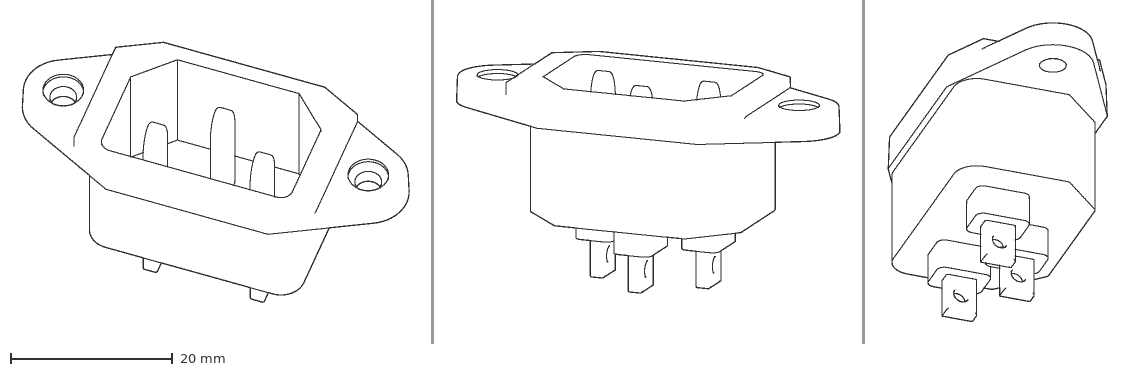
import cadquery as cq
import math

overall_length = 50.15
flange_width = 21.1
flange_flat_length = 21.25
flange_height = 4.7
flange_draft = 2.0
ear_height = 3.3
ear_hole_spacing = 40.05
raised_length = 31.8
flange_edge_radius = 0.25

screw_hole_diameter = 3.3
screw_head_diameter = 5.0
screw_head_recess = 0.5

cavity_length = 25.0
cavity_width = 16.45
cavity_chamfer = 4.5
cavity_corner_radius = 1.5
wall = 1.5
shell_depth = 12.5
shell_key_radius = 0.5

boss_length = 5.0
boss_width = 7.0
boss_corner_radius = 1.0
boss_depth = 3.9

pin_thickness = 1.95
pin_width = 4.0
pin_tip_length = 4.0
pin_tip_z = 4.4
pin_bottom_z = -21.45
pin_edge_radius = 0.275
pin_hole_diameter = 2.0
pin_hole_edge_radius = 0.25
pin_hole_z = -18.85
pin_pitch = 7.0
pin_offset = 2.5

ear_x = ear_hole_spacing / 2
ear_radius = overall_length / 2 - ear_x
shell_length = cavity_length + 2 * wall
shell_width = cavity_width + 2 * wall
shell_chamfer = cavity_chamfer + wall * (2 - math.sqrt(2))
shell_corner_radius = cavity_corner_radius + wall
cavity_depth = flange_height + shell_depth - wall
pin_places = [(-pin_pitch, -pin_offset), (0, pin_offset), (pin_pitch, -pin_offset)]


def flange_blank():
    """Drafted plate: two long straight sides joined by tangent slants to the round ears."""
    flat_x = flange_flat_length / 2
    side_y = flange_width / 2
    end_x = overall_length / 2

    corner_distance = math.hypot(ear_x - flat_x, side_y)
    corner_angle = math.atan2(side_y, flat_x - ear_x)
    tangent_angle = corner_angle - math.acos(ear_radius / corner_distance)
    tangent_x = ear_x + ear_radius * math.cos(tangent_angle)
    tangent_y = ear_radius * math.sin(tangent_angle)

    return (
        cq.Workplane("XY")
        .moveTo(-flat_x, side_y)
        .lineTo(flat_x, side_y)
        .lineTo(tangent_x, tangent_y)
        .threePointArc((end_x, 0), (tangent_x, -tangent_y))
        .lineTo(flat_x, -side_y)
        .lineTo(-flat_x, -side_y)
        .lineTo(-tangent_x, -tangent_y)
        .threePointArc((-end_x, 0), (-tangent_x, tangent_y))
        .close()
        .extrude(flange_height, taper=flange_draft)
    )


def is_outer_edge(edge):
    """True for the convex flange edges above the underside, false for step roots and ear seams."""
    center = edge.Center()
    box = edge.BoundingBox()
    tolerance = 0.005
    on_step = abs(abs(center.x) - raised_length / 2) < tolerance
    is_step_root = on_step and abs(center.z - ear_height) < tolerance
    touches_underside = box.zmin < tolerance
    is_underside = box.zmax < tolerance
    is_ear_seam = touches_underside and abs(center.x) > raised_length / 2
    return not (is_step_root or is_underside or is_ear_seam)


def make_flange():
    """Flange with lowered ears and rounded upper edges and corners."""
    envelope = cq.Workplane("XY").box(
        overall_length, flange_width, ear_height, centered=(True, True, False)
    )
    raised_block = cq.Workplane("XY").box(
        raised_length, flange_width, flange_height, centered=(True, True, False)
    )
    flange = flange_blank().intersect(envelope.union(raised_block))
    outer_edges = [edge for edge in flange.edges().vals() if is_outer_edge(edge)]
    return flange.newObject(outer_edges).fillet(flange_edge_radius)


def bevelled_block(length, width, chamfer, top_z, depth):
    """Block going down from top_z, with its two +Y corners bevelled."""
    block = cq.Workplane("XY").workplane(offset=top_z - depth).rect(length, width).extrude(depth)
    return block.edges("|Z and >Y").chamfer(chamfer)


def make_shell():
    """Outside of the socket below the flange: softened bevel corners and rounded -Y corners."""
    shell = bevelled_block(shell_length, shell_width, shell_chamfer, 0, shell_depth)
    shell = shell.edges("|Z and (not <Y)").fillet(shell_key_radius)
    return shell.edges("|Z and <Y").fillet(shell_corner_radius)


def make_bosses():
    return (
        cq.Workplane("XY")
        .workplane(offset=-shell_depth - boss_depth)
        .pushPoints(pin_places)
        .rect(boss_length, boss_width)
        .extrude(boss_depth)
        .edges("|Z")
        .fillet(boss_corner_radius)
    )


def make_cavity():
    cavity = bevelled_block(cavity_length, cavity_width, cavity_chamfer, flange_height, cavity_depth)
    return cavity.edges("|Z and <Y").fillet(cavity_corner_radius)


def make_screw_hole(x):
    """Through hole with a 45 degree countersink below a short straight recess."""
    hole_radius = screw_hole_diameter / 2
    head_radius = screw_head_diameter / 2
    cone_top = ear_height - screw_head_recess
    cone_bottom = cone_top - (head_radius - hole_radius)
    profile = [
        (0, 0),
        (hole_radius, 0),
        (hole_radius, cone_bottom),
        (head_radius, cone_top),
        (head_radius, ear_height),
        (0, ear_height),
    ]
    cutter = cq.Workplane("XZ").polyline(profile).close().revolve(360, (0, 0), (0, 1))
    return cutter.translate((x, 0, 0))


def make_housing(pins):
    housing = make_flange().union(make_shell()).union(make_bosses())
    housing = housing.cut(make_cavity())
    for side in (-1, 1):
        housing = housing.cut(make_screw_hole(side * ear_x))
    for pin in pins:
        housing = housing.cut(pin)
    return housing


def make_pin(x, y):
    """Flat blade with a half-elliptical tip, rounded edges and a soldering eye at its lower end."""
    shoulder_z = pin_tip_z - pin_tip_length
    blade_height = shoulder_z - pin_bottom_z
    blade = (
        cq.Workplane("XY")
        .workplane(offset=pin_bottom_z)
        .rect(pin_thickness, pin_width)
        .extrude(blade_height)
    )
    tip = (
        cq.Workplane("YZ", origin=(-pin_thickness / 2, 0, shoulder_z))
        .ellipse(pin_width / 2, pin_tip_length)
        .extrude(pin_thickness)
    )
    pin = blade.union(tip).faces("<X or >X").edges().fillet(pin_edge_radius)

    eye = (
        cq.Workplane("YZ", origin=(-pin_thickness / 2, 0, pin_hole_z))
        .circle(pin_hole_diameter / 2)
        .extrude(pin_thickness)
    )
    pin = pin.cut(eye)
    pin = pin.edges("%CIRCLE and (<X or >X)").fillet(pin_hole_edge_radius)
    return pin.translate((x, y, 0))


pins = [make_pin(x, y) for x, y in pin_places]
housing = make_housing(pins)
result = cq.Compound.makeCompound([housing.val(), *[pin.val() for pin in pins]])